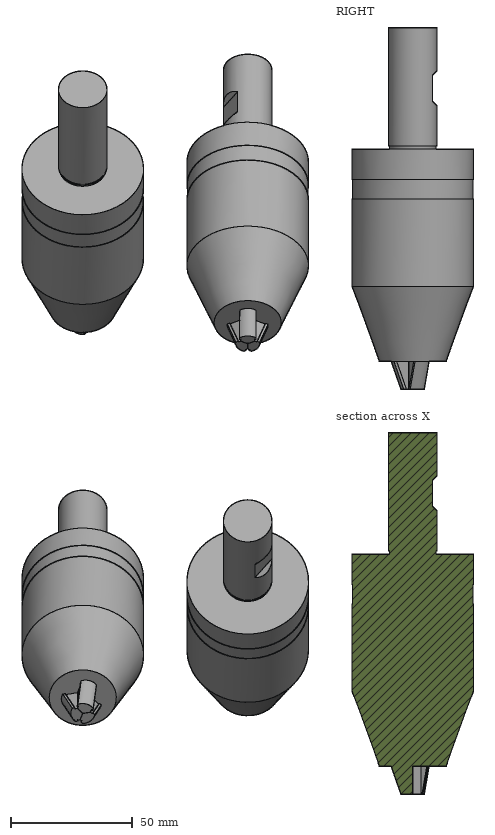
import cadquery as cq
import math

BODY_DIAMETER = 50.1
RING_DIAMETER = 49.7
NOSE_END_DIAMETER = 27.6
SHANK_DIAMETER = 20.0
NECK_DIAMETER = 19.2

TOTAL_HEIGHT = 148.84
SHANK_HEIGHT = 50.0
NECK_HEIGHT = 1.3
CAP_HEIGHT = 12.5
RING_HEIGHT = 8.0
SLEEVE_HEIGHT = 36.0
NOSE_HEIGHT = 30.8

NOTCH_DEPTH = 1.8
NOTCH_FLOOR_LENGTH = 10.7
NOTCH_FLANK_ANGLE = 45.0
NOTCH_CENTER_BELOW_TOP = 25.0

JAW_COUNT = 3
FIRST_JAW_ANGLE = -90.0
JAW_LEAN = 19.2
JAW_RADIUS = 5.6
JAW_TIP_CREST = 4.9
JAW_HEAD_WIDTH = 6.7
JAW_BLADE_WIDTH = 5.7
JAW_LEDGE_TIP_RADIUS = 2.6
JAW_GAP = 0.1
JAW_EMBED = 5.0

shank_base_z = TOTAL_HEIGHT - SHANK_HEIGHT
cap_base_z = shank_base_z - CAP_HEIGHT
ring_base_z = cap_base_z - RING_HEIGHT
sleeve_base_z = ring_base_z - SLEEVE_HEIGHT
nose_base_z = sleeve_base_z - NOSE_HEIGHT

body_radius = BODY_DIAMETER / 2
shank_radius = SHANK_DIAMETER / 2


def make_body():
    """Shank, neck, cap, ring, sleeve and conical nose turned about Z."""
    ring_radius = RING_DIAMETER / 2
    neck_radius = NECK_DIAMETER / 2
    neck_top_z = shank_base_z + NECK_HEIGHT
    profile = [
        (0, nose_base_z),
        (NOSE_END_DIAMETER / 2, nose_base_z),
        (body_radius, sleeve_base_z),
        (body_radius, ring_base_z),
        (ring_radius, ring_base_z),
        (ring_radius, cap_base_z),
        (body_radius, cap_base_z),
        (body_radius, shank_base_z),
        (neck_radius, shank_base_z),
        (neck_radius, neck_top_z),
        (shank_radius, neck_top_z),
        (shank_radius, TOTAL_HEIGHT),
        (0, TOTAL_HEIGHT),
    ]
    return cq.Workplane("XZ").polyline(profile).close().revolve(360, (0, 0), (0, 1))


def make_notch():
    """Trapezoidal cutter for the flat across the +Y side of the shank."""
    center_z = TOTAL_HEIGHT - NOTCH_CENTER_BELOW_TOP
    floor_half = NOTCH_FLOOR_LENGTH / 2
    mouth_half = floor_half + NOTCH_DEPTH * math.tan(math.radians(NOTCH_FLANK_ANGLE))
    floor_y = shank_radius - NOTCH_DEPTH
    profile = [
        (floor_y, center_z - floor_half),
        (shank_radius, center_z - mouth_half),
        (shank_radius, center_z + mouth_half),
        (floor_y, center_z + floor_half),
    ]
    return cq.Workplane("YZ").polyline(profile).close().extrude(shank_radius, both=True)


def make_jaw():
    """One jaw leaning toward the chuck axis, on the +X side."""
    lean = math.radians(JAW_LEAN)
    top_z = nose_base_z + JAW_EMBED
    tip_axis_x = JAW_TIP_CREST - JAW_RADIUS / math.cos(lean)
    axis_direction = cq.Vector(math.sin(lean), 0, math.cos(lean))

    overrun = JAW_RADIUS
    rod_start = cq.Vector(tip_axis_x, 0, 0) - axis_direction * overrun
    rod_length = top_z / math.cos(lean) + 2 * overrun
    rod = cq.Solid.makeCylinder(JAW_RADIUS, rod_length, rod_start, axis_direction)

    wedge_half_angle = math.radians(180 / JAW_COUNT)
    half_width = JAW_HEAD_WIDTH / 2
    point_x = JAW_GAP / 2 / math.sin(wedge_half_angle)
    shoulder_x = point_x + half_width / math.tan(wedge_half_angle)
    outer_x = body_radius
    plan = [
        (point_x, 0),
        (shoulder_x, -half_width),
        (outer_x, -half_width),
        (outer_x, half_width),
        (shoulder_x, half_width),
    ]
    envelope = cq.Workplane("XY").polyline(plan).close().extrude(top_z)
    jaw = envelope.intersect(cq.Workplane(obj=rod))

    ledge_top_x = JAW_LEDGE_TIP_RADIUS + top_z * math.tan(lean)
    side_profile = [
        (-outer_x, 0),
        (JAW_LEDGE_TIP_RADIUS, 0),
        (ledge_top_x, top_z),
        (-outer_x, top_z),
    ]
    blade_half_width = JAW_BLADE_WIDTH / 2
    side_zone = cq.Workplane("XZ").polyline(side_profile).close().extrude(half_width, both=True)
    blade_zone = cq.Workplane("XZ").polyline(side_profile).close().extrude(blade_half_width, both=True)
    return jaw.cut(side_zone.cut(blade_zone))


result = make_body().cut(make_notch())
jaw = make_jaw()
for index in range(JAW_COUNT):
    angle = FIRST_JAW_ANGLE + index * 360 / JAW_COUNT
    result = result.union(jaw.rotate((0, 0, 0), (0, 0, 1), angle))